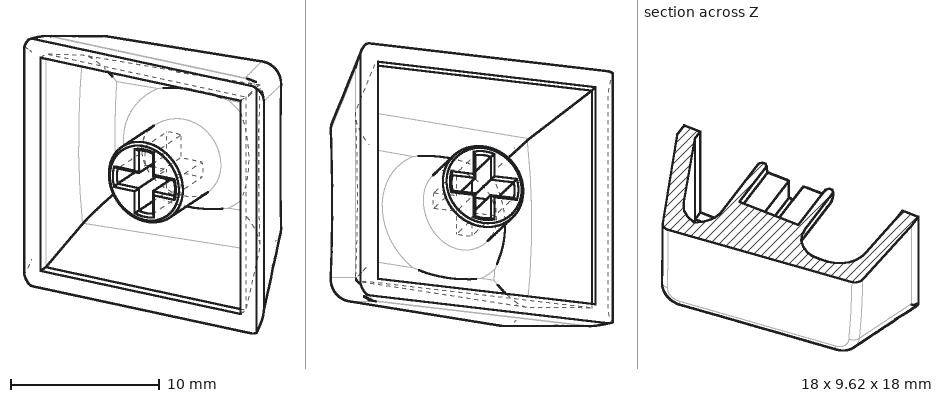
import cadquery as cq
import math


BASE_SIDE = 18.0
SKIRT_HEIGHT = 1.0
SKIRT_BLEND_RADIUS = 0.45

TOP_TILT = 7.0
TOP_HEIGHT = 9.2
TOP_LEFT = -8.47
TOP_RIGHT = 5.4
TOP_HALF_WIDTH = 6.5
CORNER_RADIUS = 1.5

DISH_RADIUS = 37.0
DISH_FLOOR_HEIGHT = 8.575
TOP_EDGE_RADIUS = 0.6

SKIRT_WALL = 1.25
CAVITY_SKIRT_HEIGHT = 0.75
CEILING_HEIGHT = 7.62
CEILING_LEFT = -7.37
CEILING_RIGHT = 4.79
CEILING_HALF_WIDTH = 5.6
DISH_THICKNESS = 1.25
CEILING_RADIUS = 2.0

STEM_DIAMETER = 5.75
STEM_RECESS = 0.55
STEM_CHAMFER = 0.2
STEM_ROOT_RADIUS = 2.0

CROSS_SPAN = 4.5
CROSS_ARM_WIDTH = 1.1
CROSS_DEPTH = 4.0

TILT_SLOPE = math.tan(math.radians(TOP_TILT))
ROUGH_LENGTH = 2 * BASE_SIDE
SELECTION_REACH = 0.01
RUN_BELOW = 0.25
RUN_ABOVE = 0.2


def tilted_rectangle(left, right, half_width, height, slope):
    """Corners of a rectangle tilted about Z, at the given height where X = 0."""
    flat_corners = [(left, -half_width), (right, -half_width), (right, half_width), (left, half_width)]
    return [cq.Vector(x, height + slope * x, z) for x, z in flat_corners]


def tapered_block(base_side, base_height, top_corners, run_below):
    """Ruled block from a level square to a tilted rectangle, run on above and by run_below below."""
    half = base_side / 2
    base_corners = tilted_rectangle(-half, half, half, base_height, 0)
    lower = [base + (base - top) * run_below for base, top in zip(base_corners, top_corners)]
    upper = [top + (top - base) * RUN_ABOVE for base, top in zip(base_corners, top_corners)]
    wires = [cq.Wire.makePolygon(corners, close=True) for corners in (lower, upper)]
    return cq.Workplane(obj=cq.Solid.makeLoft(wires, True))


def square_block(side, height):
    return cq.Workplane("XZ").rect(side, side).extrude(-height)


def edges_near(height, reach, half_span=BASE_SIDE):
    """Selector for edges whose centres lie near a height and within half_span of the Y axis."""
    low_corner = (-half_span, height - reach, -half_span)
    high_corner = (half_span, height + reach, half_span)
    return cq.selectors.BoxSelector(low_corner, high_corner)


def dish_cylinder(depth):
    """Cylinder concentric with the finger dish, reaching the given depth below its floor."""
    along = cq.Vector(1, TILT_SLOPE, 0).normalized()
    up = cq.Vector(-along.y, along.x, 0)
    axis_middle = cq.Vector(0, DISH_FLOOR_HEIGHT, 0) + up * DISH_RADIUS
    axis_start = axis_middle - along * (ROUGH_LENGTH / 2)
    return cq.Workplane(obj=cq.Solid.makeCylinder(DISH_RADIUS + depth, ROUGH_LENGTH, axis_start, along))


def outer_body():
    top = tilted_rectangle(TOP_LEFT, TOP_RIGHT, TOP_HALF_WIDTH, TOP_HEIGHT, TILT_SLOPE)
    body = tapered_block(BASE_SIDE, SKIRT_HEIGHT, top, RUN_BELOW)
    wall_corners = edges_near(TOP_HEIGHT / 2, TOP_HEIGHT / 5)
    body = body.edges(wall_corners).fillet(CORNER_RADIUS)

    body = body.intersect(square_block(BASE_SIDE, ROUGH_LENGTH))
    skirt_lines = edges_near(SKIRT_HEIGHT, SELECTION_REACH)
    body = body.edges(skirt_lines).edges(">Z or <Z").fillet(SKIRT_BLEND_RADIUS)

    body = body.cut(dish_cylinder(0))
    return body.faces("%CYLINDER").edges().fillet(TOP_EDGE_RADIUS)


def cavity():
    mouth_side = BASE_SIDE - 2 * SKIRT_WALL
    ceiling = tilted_rectangle(CEILING_LEFT, CEILING_RIGHT, CEILING_HALF_WIDTH, CEILING_HEIGHT, TILT_SLOPE)
    room = tapered_block(mouth_side, CAVITY_SKIRT_HEIGHT, ceiling, 0)
    room = room.cut(dish_cylinder(DISH_THICKNESS))
    room = room.faces("%CYLINDER").edges().fillet(CEILING_RADIUS)
    return room.union(square_block(mouth_side, CAVITY_SKIRT_HEIGHT))


def cross_socket():
    face = cq.Workplane("XZ", origin=(0, STEM_RECESS, 0))
    arm_x = face.rect(CROSS_SPAN, CROSS_ARM_WIDTH).extrude(-CROSS_DEPTH)
    arm_z = face.rect(CROSS_ARM_WIDTH, CROSS_SPAN).extrude(-CROSS_DEPTH)
    rounded_ends = face.circle(CROSS_SPAN / 2).extrude(-CROSS_DEPTH)
    return arm_x.union(arm_z).intersect(rounded_ends)


def stem_on_ceiling():
    """Stem standing on the ceiling cylinder, flared where the two meet."""
    length = DISH_FLOOR_HEIGHT - STEM_RECESS
    post = cq.Workplane("XZ", origin=(0, STEM_RECESS, 0)).circle(STEM_DIAMETER / 2).extrude(-length)
    solid = dish_cylinder(DISH_THICKNESS).union(post)
    ceiling_floor = DISH_FLOOR_HEIGHT - DISH_THICKNESS
    root = edges_near(ceiling_floor, STEM_DIAMETER / 5, STEM_DIAMETER / 5)
    solid = solid.edges(root).fillet(STEM_ROOT_RADIUS)
    solid = solid.cut(cross_socket())
    return solid.faces("<Y").edges().chamfer(STEM_CHAMFER)


result = outer_body().cut(cavity().cut(stem_on_ceiling()))